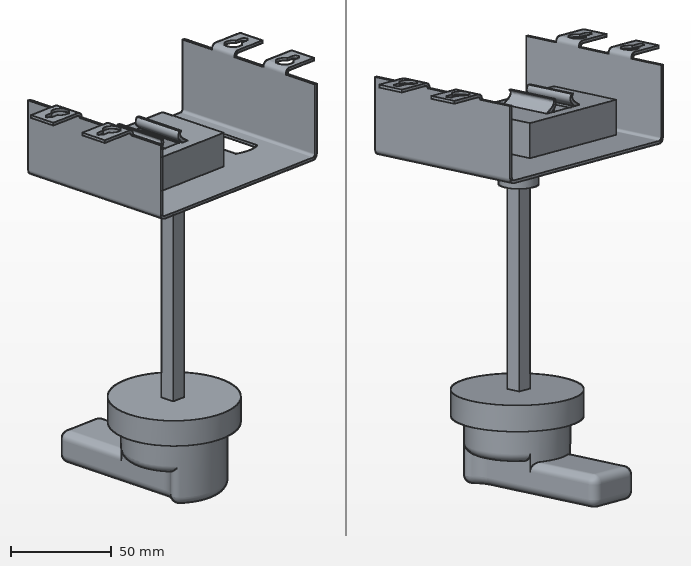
import cadquery as cq
import math

total_height = 214.2
sheet = 1.5
bend_outer = 2 * sheet
bracket_width = 90.0
bracket_depth = 114.4
bracket_height = 43.0
tab_span = 153.0
tab_width = 15.2
tab_pitch = 35.0
bracket_bottom = total_height - bracket_height
floor_top = bracket_bottom + sheet
wall_outer_y = bracket_depth / 2
wall_top = total_height - bend_outer

keyhole_diameter = 9.0
keyhole_slot_width = 3.9
keyhole_y = 63.2
keyhole_slot_end_y = 73.0

window_y = 39.8
window_height = 15.6
window_length = 30.0
window_straight = 26.5

block_width = 41.5
block_depth = 64.5
block_height = 18.0
block_y = -17.1
block_top = floor_top + block_height
block_wall = 2.0
opening_left = -14.1
opening_right = 13.7
opening_depth = 20.5
clip_height = 6.6
clip_foot_outer = 12.2
clip_foot_inner = 8.4
clip_tip_outer = 7.7
clip_tip_inner = 6.5
clip_right = 14.8

shaft_x = 0.2
shaft_side = 8.1
collar_diameter = 35.0
collar_bottom = 165.1
hub_diameter = 20.1
hub_bottom = 153.2

knob_y = 1.3
flange_diameter = 66.5
flange_top = 48.2
flange_bottom = 34.7
body_diameter = 53.1
body_radius = body_diameter / 2
rim_radius = 4.5
arm_tip_x = -65.1
arm_width = 30.0
arm_height = 17.0
arm_rounding = 4.5
flare_start_x = 6.9
flare_inner_radius = 10.7
flare_outer_radius = 4.0


def round_bar(diameter, bottom, top, x=0.0, y=0.0):
    """Upright cylinder between two heights."""
    return cq.Workplane("XY", origin=(x, y, bottom)).circle(diameter / 2).extrude(top - bottom)


def make_bracket():
    """Folded channel whose walls end in outward tabs."""
    channel = (
        cq.Workplane("XY", origin=(0, 0, bracket_bottom))
        .box(bracket_width, bracket_depth, wall_top - bracket_bottom, centered=(True, True, False))
        .edges("|X and <Z")
        .fillet(bend_outer)
    )
    hollow = (
        cq.Workplane("XY", origin=(0, 0, floor_top))
        .box(bracket_width, bracket_depth - 2 * sheet, bracket_height, centered=(True, True, False))
        .edges("|X and <Z")
        .fillet(bend_outer - sheet)
    )
    window = (
        cq.Workplane("XY", origin=(0, window_y, bracket_bottom))
        .moveTo(-window_straight / 2, -window_height / 2)
        .lineTo(window_straight / 2, -window_height / 2)
        .threePointArc((window_length / 2, 0), (window_straight / 2, window_height / 2))
        .lineTo(-window_straight / 2, window_height / 2)
        .threePointArc((-window_length / 2, 0), (-window_straight / 2, -window_height / 2))
        .close()
        .extrude(sheet)
    )
    bracket = channel.cut(hollow).cut(window)
    tab = make_tab()
    for x in (-tab_pitch / 2, tab_pitch / 2):
        placed = tab.translate((x, 0, 0))
        bracket = bracket.union(placed).union(placed.mirror("XZ"))
    return bracket


def make_tab():
    """Tab on the +Y wall: a quarter bend leading to a flat strip with a keyhole."""
    bend_y = wall_outer_y - sheet + bend_outer
    diagonal = math.sqrt(0.5)
    bend_inner = bend_outer - sheet
    strip = (
        cq.Workplane("YZ", origin=(-tab_width / 2, 0, 0))
        .moveTo(bend_y - bend_outer, wall_top)
        .threePointArc(
            (bend_y - bend_outer * diagonal, wall_top + bend_outer * diagonal),
            (bend_y, total_height),
        )
        .lineTo(tab_span / 2, total_height)
        .lineTo(tab_span / 2, total_height - sheet)
        .lineTo(bend_y, total_height - sheet)
        .threePointArc(
            (bend_y - bend_inner * diagonal, wall_top + bend_inner * diagonal),
            (bend_y - bend_inner, wall_top),
        )
        .close()
        .extrude(tab_width)
    )
    tab_bottom = total_height - sheet
    hole = round_bar(keyhole_diameter, tab_bottom, total_height, y=keyhole_y)
    slot_end_centre = keyhole_slot_end_y - keyhole_slot_width / 2
    slot_length = slot_end_centre - keyhole_y
    slot = (
        cq.Workplane("XY", origin=(0, keyhole_y + slot_length / 2, tab_bottom))
        .slot2D(slot_length + keyhole_slot_width, keyhole_slot_width, 90)
        .extrude(sheet)
    )
    return strip.cut(hole).cut(slot)


def make_clip():
    """Spring clip on the +Y side of the opening: a leaning foot with an outward-curled lip."""
    shank_outer = (8.0, 3.0)
    waist_outer = (6.9, 4.7)
    waist_inner = (5.4, 4.3)
    shank_inner = (6.5, 2.0)
    return (
        cq.Workplane("YZ", origin=(opening_left, block_y, block_top))
        .moveTo(clip_foot_outer, 0)
        .spline([shank_outer, waist_outer, (clip_tip_outer, clip_height)], includeCurrent=True)
        .lineTo(clip_tip_inner, clip_height)
        .threePointArc(waist_inner, shank_inner)
        .lineTo(clip_foot_inner, 0)
        .close()
        .extrude(clip_right - opening_left)
    )


def make_switch_block():
    """Thin-walled box on the bracket floor, open at the top between two facing clips."""
    block = cq.Workplane("XY", origin=(0, block_y, floor_top)).box(
        block_width, block_depth, block_height, centered=(True, True, False)
    )
    cavity = cq.Workplane("XY", origin=(0, block_y, floor_top)).box(
        block_width - 2 * block_wall,
        block_depth - 2 * block_wall,
        block_height - block_wall,
        centered=(True, True, False),
    )
    opening = cq.Workplane("XY", origin=(opening_left, block_y, block_top - block_wall)).box(
        opening_right - opening_left, opening_depth, block_wall, centered=(False, True, False)
    )
    clip = make_clip()
    far_clip = clip.mirror("XZ", basePointVector=(0, block_y, 0))
    return block.cut(cavity).cut(opening).union(clip).union(far_clip)


def make_shaft():
    """Square shaft with the round collar and hub at its upper end."""
    collar = round_bar(collar_diameter, collar_bottom, bracket_bottom, x=shaft_x)
    hub = round_bar(hub_diameter, hub_bottom, collar_bottom, x=shaft_x)
    shaft = cq.Workplane("XY", origin=(shaft_x, 0, flange_top)).box(
        shaft_side, shaft_side, hub_bottom - flange_top, centered=(True, True, False)
    )
    return collar.union(hub).union(shaft)


def grip_outline():
    """Straight-sided arm that flares out in an S-curve and joins the body circle at +X."""
    half = arm_width / 2
    inner_y = half + flare_inner_radius
    reach = flare_inner_radius + flare_outer_radius
    orbit = body_radius - flare_outer_radius
    spacing = math.hypot(flare_start_x, inner_y)
    bearing = math.atan2(inner_y, flare_start_x)
    swing = math.acos((spacing**2 + orbit**2 - reach**2) / (2 * spacing * orbit))
    outer_angle = bearing - swing
    outer_x = orbit * math.cos(outer_angle)
    outer_y = orbit * math.sin(outer_angle)
    join_angle = math.atan2(outer_y - inner_y, outer_x - flare_start_x)

    def on_inner(angle):
        return (
            flare_start_x + flare_inner_radius * math.cos(angle),
            inner_y + flare_inner_radius * math.sin(angle),
        )

    def on_outer(angle):
        return (
            outer_x + flare_outer_radius * math.cos(angle),
            outer_y + flare_outer_radius * math.sin(angle),
        )

    def flipped(point):
        return (point[0], -point[1])

    side_end = (flare_start_x, half)
    inner_mid = on_inner((join_angle - math.pi / 2) / 2)
    join = on_inner(join_angle)
    outer_mid = on_outer((join_angle + math.pi + outer_angle) / 2)
    body_point = on_outer(outer_angle)
    return (
        cq.Workplane("XY")
        .moveTo(arm_tip_x, -half)
        .lineTo(arm_tip_x, half)
        .lineTo(*side_end)
        .threePointArc(inner_mid, join)
        .threePointArc(outer_mid, body_point)
        .threePointArc((body_radius, 0), flipped(body_point))
        .threePointArc(flipped(outer_mid), flipped(join))
        .threePointArc(flipped(inner_mid), flipped(side_end))
        .close()
    )


def make_knob():
    """Flange and round body above a grip that is flush with the body at +X."""
    flange = round_bar(flange_diameter, flange_bottom, flange_top)
    body = round_bar(body_diameter, arm_height, flange_bottom).edges("<Z").fillet(rim_radius)
    neck = grip_outline().extrude(flange_bottom).intersect(round_bar(body_diameter, 0, flange_bottom))
    level_margin = 0.2
    arm_top_edges = cq.selectors.BoxSelector(
        (arm_tip_x - level_margin, -arm_width, arm_height - level_margin),
        (-body_radius, arm_width, arm_height + level_margin),
    )
    grip = (
        grip_outline()
        .extrude(arm_height)
        .union(neck)
        .edges("|Z and <X")
        .fillet(arm_rounding)
        .faces("<Z")
        .edges()
        .fillet(arm_rounding)
        .edges(arm_top_edges)
        .fillet(arm_rounding)
    )
    return flange.union(body).union(grip).translate((0, knob_y, 0))


result = make_bracket().union(make_switch_block()).union(make_shaft()).union(make_knob())